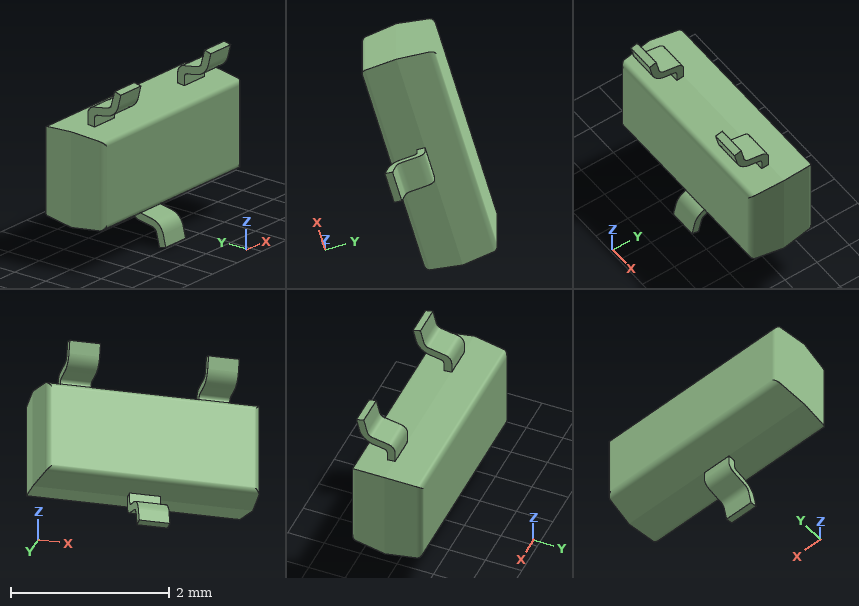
import cadquery as cq
import math

BODY_LENGTH = 2.9
BODY_HEIGHT = 1.3
HALF_DEPTH = 0.487
FACE_INSET = 0.05
FACE_FILLET = 0.075

LEAD_WIDTH = 0.405
LEAD_THICKNESS = 0.107
LEAD_OFFSET = 0.914
OVERALL_HEIGHT = 2.4
LEAD_REACH = 0.535
SHOULDER_Z = 0.89
MIDDLE_ANGLE = math.radians(10)
FOOT_ANGLE = math.radians(14)
SHOULDER_OUTER_RADIUS = 0.115
SHOULDER_INNER_RADIUS = 0.052
FOOT_INNER_RADIUS = 0.093
FOOT_OUTER_RADIUS = 0.232

BODY_TAPER = math.atan2(FACE_INSET, HALF_DEPTH)


def make_body_half(direction):
    """Tapered half on one side of the parting plane; direction is +1 for -Y, -1 for +Y."""
    half = (
        cq.Workplane("XZ")
        .rect(BODY_LENGTH, BODY_HEIGHT)
        .extrude(direction * HALF_DEPTH, taper=math.degrees(BODY_TAPER))
    )
    flat_face = "<Y" if direction > 0 else ">Y"
    return half.faces(flat_face).edges().fillet(FACE_FILLET)


def make_body():
    return make_body_half(1).union(make_body_half(-1))


def make_upper_lead(center_x):
    """Lead on the +Z side; its root lies flush against the tapered top of the body."""
    root_z = BODY_HEIGHT / 2
    tip_z = OVERALL_HEIGHT / 2
    middle_slope = math.tan(MIDDLE_ANGLE)
    foot_slope = math.tan(FOOT_ANGLE)
    shoulder_miter = LEAD_THICKNESS * math.tan((math.pi / 2 - MIDDLE_ANGLE) / 2)
    foot_miter = LEAD_THICKNESS * math.tan((math.pi / 2 - MIDDLE_ANGLE - FOOT_ANGLE) / 2)

    root_back = (0, root_z)
    root_front = (LEAD_THICKNESS, root_z - LEAD_THICKNESS * math.tan(BODY_TAPER))
    shoulder_outer = (0, SHOULDER_Z)
    shoulder_inner = (LEAD_THICKNESS, SHOULDER_Z - shoulder_miter)

    tip_back = (LEAD_REACH - LEAD_THICKNESS * math.cos(FOOT_ANGLE), tip_z)
    tip_front = (LEAD_REACH, tip_z - LEAD_THICKNESS * math.sin(FOOT_ANGLE))

    foot_reach = (tip_back[0] - (tip_z - SHOULDER_Z) * foot_slope) / (1 - middle_slope * foot_slope)
    foot_inner = (foot_reach, SHOULDER_Z + foot_reach * middle_slope)
    foot_outer = (
        foot_inner[0] + LEAD_THICKNESS * math.sin(MIDDLE_ANGLE) + foot_miter * math.cos(MIDDLE_ANGLE),
        foot_inner[1] - LEAD_THICKNESS * math.cos(MIDDLE_ANGLE) + foot_miter * math.sin(MIDDLE_ANGLE),
    )

    outline = [
        root_back, shoulder_outer, foot_inner, tip_back,
        tip_front, foot_outer, shoulder_inner, root_front,
    ]
    lead = (
        cq.Workplane("YZ")
        .polyline([(-forward, height) for forward, height in outline])
        .close()
        .extrude(LEAD_WIDTH / 2, both=True)
    )
    bends = [
        (shoulder_outer, SHOULDER_OUTER_RADIUS),
        (shoulder_inner, SHOULDER_INNER_RADIUS),
        (foot_inner, FOOT_INNER_RADIUS),
        (foot_outer, FOOT_OUTER_RADIUS),
    ]
    for (forward, height), radius in bends:
        corner_edge = cq.selectors.NearestToPointSelector((0, -forward, height))
        lead = lead.edges("|X").edges(corner_edge).fillet(radius)
    return lead.translate((center_x, 0, 0))


def make_lower_lead(center_x):
    """Mirror image of an upper lead, on the -Z side."""
    return make_upper_lead(center_x).mirror("XY")


body = make_body()
leads = [make_upper_lead(side * LEAD_OFFSET) for side in (-1, 1)]
leads.append(make_lower_lead(0))

result = cq.Compound.makeCompound([body.solids().val(), *[lead.solids().val() for lead in leads]])